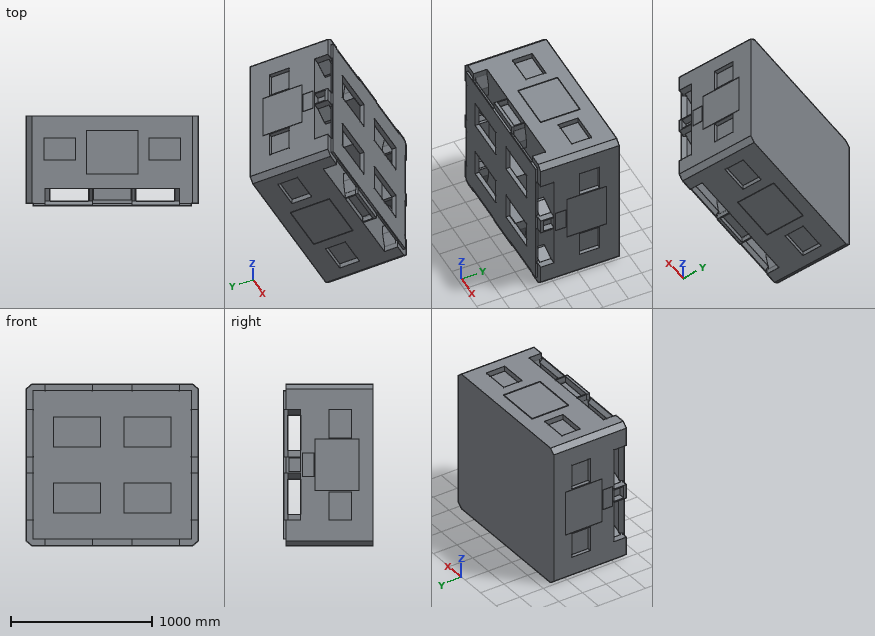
import cadquery as cq

WIDTH = 1219.0
DEPTH = 635.0
HEIGHT = 1144.0
BACK = DEPTH / 2
FRONT = -DEPTH / 2

PLATE_THICKNESS = 17.0
PLATE_WIDTH = 1120.0
PLATE_HEIGHT = 1051.0
BODY_DEPTH = DEPTH - PLATE_THICKNESS
BODY_FRONT = BACK - BODY_DEPTH

CHAMFER_X = 41.0
CHAMFER_Z = 35.0

TUNNEL_BACK = BACK - 513.0
TUNNEL_FRONT = FRONT + 33.0
MOUTH_FRONT = FRONT + 5.0
FLARE_LENGTH = 100.0
RAMP_LENGTH = TUNNEL_FRONT - MOUTH_FRONT
THROAT_STEP = 6.0
UPRIGHT_TUNNEL = (168.0, 439.0)
UPRIGHT_MOUTH = (141.0, 474.0)
CROSS_TUNNEL = (102.0, 350.0)
CROSS_MOUTH = (57.0, 390.0)

WINDOW_X = (82.0, 416.0)
WINDOW_Z = (127.0, 340.0)

POCKET_Y = BACK - 233.0
POCKET_LENGTH_Y = 156.0
PANEL_Y = BACK - 256.0
PANEL_WIDTH = 363.0
PANEL_LENGTH_Y = 310.0
PANEL_RECESS = 5.0
SIDE_PANEL_RECESS = 1.0
END_POCKET_X = 371.0
END_POCKET_WIDTH = 221.0
END_POCKET_DEPTH = 41.0
SIDE_POCKET_Z = 290.0
SIDE_POCKET_HEIGHT = 200.0
SIDE_POCKET_DEPTH = 29.0
LABEL_Y = BACK - 460.0
LABEL_LENGTH_Y = 80.0
LABEL_HEIGHT = 167.0
LABEL_RECESS = 1.0
POST_POCKET_LENGTH_Y = 82.0
POST_POCKET_Y = TUNNEL_BACK - POST_POCKET_LENGTH_Y / 2
END_POST_POCKET_WIDTH = 266.0
SIDE_POST_POCKET_HEIGHT = 96.0
POST_POCKET_DEPTH = 50.0


def box_between(x_limits, y_limits, z_limits):
    """Box spanning the given limits along each axis."""
    spans = [max(limits) - min(limits) for limits in (x_limits, y_limits, z_limits)]
    corner = tuple(min(limits) for limits in (x_limits, y_limits, z_limits))
    return cq.Workplane("XY").box(*spans, centered=False).translate(corner)


def body_with_plate():
    half_width = WIDTH / 2
    half_height = HEIGHT / 2
    corner_x = half_width - CHAMFER_X
    corner_z = half_height - CHAMFER_Z
    outline = [
        (corner_x, half_height), (half_width, corner_z),
        (half_width, -corner_z), (corner_x, -half_height),
        (-corner_x, -half_height), (-half_width, -corner_z),
        (-half_width, corner_z), (-corner_x, half_height),
    ]
    body = cq.Workplane("XZ", origin=(0, BACK, 0)).polyline(outline).close().extrude(BODY_DEPTH)
    plate = cq.Workplane("XZ", origin=(0, BODY_FRONT, 0)).rect(PLATE_WIDTH, PLATE_HEIGHT)
    plate = plate.extrude(PLATE_THICKNESS)
    return body.union(plate)


def tapered_box(bottom_span, top_span, bottom, top):
    """Tunnel-deep solid whose width changes from the bottom span to the top span."""
    outline = [
        (bottom_span[0], bottom), (bottom_span[1], bottom),
        (top_span[1], top), (top_span[0], top),
    ]
    side = cq.Workplane("XZ", origin=(0, TUNNEL_BACK, 0)).polyline(outline).close()
    return side.extrude(TUNNEL_BACK - TUNNEL_FRONT)


def upright_entry(mouth, throat, outer_edge, plate_edge):
    """Top end of an upright tunnel: an open mouth, tapering walls and a ramp on the front wall."""
    open_mouth = box_between(mouth, (FRONT, TUNNEL_BACK), (plate_edge, outer_edge))
    flare = tapered_box(throat, mouth, plate_edge - FLARE_LENGTH, plate_edge)
    ramp_outline = [
        (TUNNEL_FRONT, plate_edge - RAMP_LENGTH),
        (MOUTH_FRONT, plate_edge),
        (TUNNEL_FRONT, plate_edge),
    ]
    ramp = cq.Workplane("YZ", origin=(mouth[0], 0, 0)).polyline(ramp_outline).close()
    ramp = ramp.extrude(mouth[1] - mouth[0])
    return open_mouth.union(flare).union(ramp)


def upright_tunnel():
    """Tunnel along Z on the +X side, slightly wider above and below the cross tunnels."""
    plate_edge = PLATE_HEIGHT / 2
    throat = (UPRIGHT_TUNNEL[0] - THROAT_STEP, UPRIGHT_TUNNEL[1] + THROAT_STEP)
    throat_heights = (CROSS_TUNNEL[1], plate_edge - FLARE_LENGTH)
    end = upright_entry(UPRIGHT_MOUTH, throat, HEIGHT / 2, plate_edge)
    end = end.union(box_between(throat, (TUNNEL_FRONT, TUNNEL_BACK), throat_heights))
    middle_heights = (-CROSS_TUNNEL[1], CROSS_TUNNEL[1])
    middle = box_between(UPRIGHT_TUNNEL, (TUNNEL_FRONT, TUNNEL_BACK), middle_heights)
    return middle.union(end).union(end.mirror("XY"))


def cross_tunnel():
    """Tunnel along X in the lower half, made upright and then laid on its side."""
    plate_edge = PLATE_WIDTH / 2
    throat_edge = plate_edge - FLARE_LENGTH
    end = upright_entry(CROSS_MOUTH, CROSS_TUNNEL, WIDTH / 2, plate_edge)
    middle = box_between(CROSS_TUNNEL, (TUNNEL_FRONT, TUNNEL_BACK), (-throat_edge, throat_edge))
    return middle.union(end).union(end.mirror("XY")).rotate((0, 0, 0), (0, 1, 0), 90)


def cut_fork_tunnels(part):
    upright = upright_tunnel()
    cross = cross_tunnel()
    part = part.cut(upright).cut(upright.mirror("YZ"))
    return part.cut(cross).cut(cross.mirror("XY"))


def cut_windows(part):
    window = box_between(WINDOW_X, (FRONT, TUNNEL_FRONT), WINDOW_Z)
    upper_pair = window.union(window.mirror("YZ"))
    return part.cut(upper_pair).cut(upper_pair.mirror("XY"))


def cut_end_recess(part, x, y, width, length_y, depth):
    """Rectangular recess in both the top and the bottom end."""
    for end in (-1, 1):
        cutter = cq.Workplane("XY").box(width, length_y, 2 * depth)
        part = part.cut(cutter.translate((x, y, end * HEIGHT / 2)))
    return part


def cut_side_recess(part, y, z, length_y, height, depth):
    """Rectangular recess in both the left and the right side."""
    for side in (-1, 1):
        cutter = cq.Workplane("XY").box(2 * depth, length_y, height)
        part = part.cut(cutter.translate((side * WIDTH / 2, y, z)))
    return part


def cut_recesses(part):
    part = cut_end_recess(part, 0, PANEL_Y, PANEL_WIDTH, PANEL_LENGTH_Y, PANEL_RECESS)
    part = cut_side_recess(part, PANEL_Y, 0, PANEL_LENGTH_Y, PANEL_WIDTH, SIDE_PANEL_RECESS)
    for sign in (-1, 1):
        part = cut_end_recess(
            part, sign * END_POCKET_X, POCKET_Y, END_POCKET_WIDTH, POCKET_LENGTH_Y, END_POCKET_DEPTH)
        part = cut_side_recess(
            part, POCKET_Y, sign * SIDE_POCKET_Z, POCKET_LENGTH_Y, SIDE_POCKET_HEIGHT, SIDE_POCKET_DEPTH)
    part = cut_side_recess(part, LABEL_Y, 0, LABEL_LENGTH_Y, LABEL_HEIGHT, LABEL_RECESS)
    part = cut_end_recess(
        part, 0, POST_POCKET_Y, END_POST_POCKET_WIDTH, POST_POCKET_LENGTH_Y, POST_POCKET_DEPTH)
    return cut_side_recess(
        part, POST_POCKET_Y, 0, POST_POCKET_LENGTH_Y, SIDE_POST_POCKET_HEIGHT, POST_POCKET_DEPTH)


result = cut_recesses(cut_windows(cut_fork_tunnels(body_with_plate())))